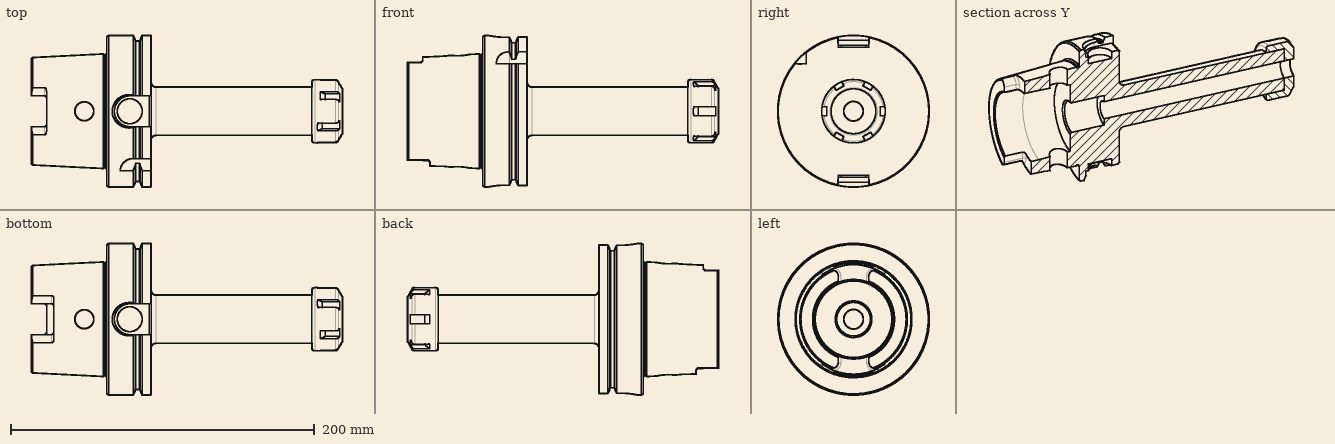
import cadquery as cq
import math


total_length = 205.0
flange_start = 49.6
flange_width = 29.3
flange_end = flange_start + flange_width
nut_start = 184.8

taper_end_radius = 35.5
taper_slope = 0.05
taper_edge_chamfer = 0.8
relief_width = 2.3
relief_depth = 0.6
relief_collar_radius = 38.5
mouth_radius = 27.0
mouth_chamfer = 0.8
bore_radius = mouth_radius - mouth_chamfer
bore_taper_x = 20.5
bore_floor_radius = 25.2
bore_floor_x = 43.0
thread_radius = 12.0
thread_chamfer = 1.0
thread_floor_x = 67.7
through_hole_radius = 6.4
cross_hole_x = 34.9
cross_hole_radius = 6.2

slot_half_width = 10.15
upper_slot_depth = 10.0
lower_slot_depth = 14.8
slot_corner_radius = 1.6
slot_edge_radius = 3.7

flange_radius = 50.0
front_chamfer_length = 1.2
front_chamfer_height = 0.8
back_chamfer = 0.5
groove_start = 67.0
groove_end = 73.0
groove_floor_radius = 46.4
groove_side_run = 1.2
groove_side_depth = 2.5
groove_corner = 0.6

keyway_center_x = 64.8
keyway_radius = 10.15
keyway_floor_z = 43.5
keyway_rim_width = 1.5
keyway_rim_depth = 3.3
keyway_end_chamfer = 1.2
keyway_hole_radius = 8.2
keyway_hole_depth = 5.1

notch_inner = 31.2
notch_radius = 8.6
notch_center_x = groove_start

shank_radius = 16.0
shank_fillet = 3.0

nut_radius = 21.0
nut_back_fillet = 1.8
nut_shoulder_x = 200.4
nut_cone_start_x = 202.2
nut_cone_start_radius = 19.7
nut_face_radius = 14.8
nut_edge_length = 0.6
nut_cone_end_radius = 15.5
nut_recess_depth = 13.3
nut_slot_count = 6
nut_slot_width = 6.0
nut_slot_floor_radius = 17.6
nut_slot_inset = 3.7
nut_slot_inset_far_side = 5.5

shank_end = nut_start + nut_recess_depth


def cylinder(radius, start, length, direction):
    """Solid cylinder from a start point along a direction."""
    return cq.Workplane(cq.Solid.makeCylinder(radius, length, cq.Vector(*start), cq.Vector(*direction)))


def holder_blank():
    """Turned outside of the holder: taper, relief, grooved flange and shank."""
    relief_start = flange_start - relief_width
    taper_large_radius = taper_end_radius + taper_slope * relief_start
    relief_radius = taper_large_radius - relief_depth
    groove_side_radius = flange_radius - groove_side_depth
    fillet_mid = shank_fillet * (1 - math.sqrt(0.5))
    return (
        cq.Workplane("XY")
        .moveTo(0, 0)
        .lineTo(0, taper_end_radius - taper_edge_chamfer)
        .lineTo(taper_edge_chamfer, taper_end_radius)
        .lineTo(relief_start, taper_large_radius)
        .lineTo(relief_start + relief_depth, relief_radius)
        .lineTo(flange_start - relief_depth, relief_radius)
        .lineTo(flange_start, relief_collar_radius)
        .lineTo(flange_start, flange_radius - front_chamfer_height)
        .lineTo(flange_start + front_chamfer_length, flange_radius)
        .lineTo(groove_start, flange_radius)
        .lineTo(groove_start + groove_side_run, groove_side_radius)
        .lineTo(groove_start + groove_side_run, groove_floor_radius + groove_corner)
        .lineTo(groove_start + groove_side_run + groove_corner, groove_floor_radius)
        .lineTo(groove_end - groove_side_run - groove_corner, groove_floor_radius)
        .lineTo(groove_end - groove_side_run, groove_floor_radius + groove_corner)
        .lineTo(groove_end - groove_side_run, groove_side_radius)
        .lineTo(groove_end, flange_radius)
        .lineTo(flange_end - back_chamfer, flange_radius)
        .lineTo(flange_end, flange_radius - back_chamfer)
        .lineTo(flange_end, shank_radius + shank_fillet)
        .threePointArc(
            (flange_end + fillet_mid, shank_radius + fillet_mid),
            (flange_end + shank_fillet, shank_radius),
        )
        .lineTo(shank_end, shank_radius)
        .lineTo(shank_end, 0)
        .close()
        .revolve(360, (0, 0, 0), (1, 0, 0))
    )


def holder_bore():
    """Stepped bore along the axis: clamping bore with a tapered inner part, coolant thread and through hole."""
    return (
        cq.Workplane("XY")
        .moveTo(0, 0)
        .lineTo(0, mouth_radius)
        .lineTo(mouth_chamfer, bore_radius)
        .lineTo(bore_taper_x, bore_radius)
        .lineTo(bore_floor_x, bore_floor_radius)
        .lineTo(bore_floor_x, thread_radius)
        .lineTo(bore_floor_x + thread_chamfer, thread_radius - thread_chamfer)
        .lineTo(thread_floor_x, thread_radius - thread_chamfer)
        .lineTo(thread_floor_x, through_hole_radius)
        .lineTo(shank_end, through_hole_radius)
        .lineTo(shank_end, 0)
        .close()
        .revolve(360, (0, 0, 0), (1, 0, 0))
    )


def driving_slot(depth):
    """Cutter for the +Z driving slot; its walls round over into the outside of the taper."""
    round_y = slot_half_width + slot_edge_radius
    round_z = math.sqrt((taper_end_radius - slot_edge_radius) ** 2 - round_y**2)
    tangent_angle = math.atan2(round_z, round_y)
    tangent_y = taper_end_radius * math.cos(tangent_angle)
    tangent_z = taper_end_radius * math.sin(tangent_angle)
    middle_angle = (math.pi + tangent_angle) / 2
    middle_y = round_y + slot_edge_radius * math.cos(middle_angle)
    middle_z = round_z + slot_edge_radius * math.sin(middle_angle)
    top_z = flange_radius
    return (
        cq.Workplane("YZ")
        .moveTo(-slot_half_width, 0)
        .lineTo(slot_half_width, 0)
        .lineTo(slot_half_width, round_z)
        .threePointArc((middle_y, middle_z), (tangent_y, tangent_z))
        .lineTo(tangent_y, top_z)
        .lineTo(-tangent_y, top_z)
        .lineTo(-tangent_y, tangent_z)
        .threePointArc((-middle_y, middle_z), (-slot_half_width, round_z))
        .close()
        .extrude(depth)
        .faces(">X")
        .edges("not(<Z or >Z)")
        .fillet(slot_corner_radius)
    )


def keyway():
    """Cutter for the +Z keyway, open towards +X, with its rim chamfer and blind hole."""
    height = flange_radius - keyway_floor_z
    run_out = flange_end - keyway_center_x
    floor_center = (keyway_center_x, 0, keyway_floor_z)
    pocket = cylinder(keyway_radius, floor_center, height, (0, 0, 1))
    channel = (
        cq.Workplane("XY", origin=floor_center)
        .rect(run_out, 2 * keyway_radius)
        .extrude(height)
        .translate((run_out / 2, 0, 0))
    )
    rim = cq.Workplane(
        cq.Solid.makeCone(
            keyway_radius,
            keyway_radius + keyway_rim_width,
            keyway_rim_depth,
            cq.Vector(keyway_center_x, 0, flange_radius - keyway_rim_depth),
            cq.Vector(0, 0, 1),
        )
    )
    end_chamfer = (
        cq.Workplane("XZ", origin=(0, keyway_radius, 0))
        .moveTo(flange_end, keyway_floor_z - keyway_end_chamfer)
        .lineTo(flange_end, keyway_floor_z)
        .lineTo(flange_end - keyway_end_chamfer, keyway_floor_z)
        .close()
        .extrude(2 * keyway_radius)
    )
    hole = cylinder(keyway_hole_radius, floor_center, keyway_hole_depth, (0, 0, -1))
    return pocket.union(channel).union(rim).union(end_chamfer).union(hole)


def orientation_notch():
    """Cutter with a flat floor, a flat wall and a round end."""
    center_y = -notch_inner - notch_radius
    run_out = flange_end - notch_center_x
    round_end = cylinder(notch_radius, (notch_center_x, center_y, notch_inner), flange_radius, (0, 0, 1))
    channel = (
        cq.Workplane("XY", origin=(notch_center_x + run_out / 2, center_y, notch_inner))
        .rect(run_out, 2 * notch_radius)
        .extrude(flange_radius)
    )
    return round_end.union(channel)


def upside_down(cutter):
    return cutter.rotate((0, 0, 0), (1, 0, 0), 180)


def make_holder():
    cross_hole = cylinder(cross_hole_radius, (cross_hole_x, 0, -flange_radius), 2 * flange_radius, (0, 0, 1))
    return (
        holder_blank()
        .cut(holder_bore())
        .cut(driving_slot(upper_slot_depth))
        .cut(upside_down(driving_slot(lower_slot_depth)))
        .cut(cross_hole)
        .cut(keyway())
        .cut(upside_down(keyway()))
        .cut(orientation_notch())
    )


def nut_blank():
    """Turned nut with a recess for the shank end and a through hole."""
    back_mid = nut_back_fillet * (1 - math.sqrt(0.5))
    return (
        cq.Workplane("XY")
        .moveTo(nut_start, shank_radius)
        .lineTo(nut_start, nut_radius - nut_back_fillet)
        .threePointArc(
            (nut_start + back_mid, nut_radius - back_mid),
            (nut_start + nut_back_fillet, nut_radius),
        )
        .lineTo(nut_shoulder_x, nut_radius)
        .tangentArcPoint((nut_cone_start_x, nut_cone_start_radius), relative=False)
        .lineTo(total_length - nut_edge_length, nut_cone_end_radius)
        .lineTo(total_length, nut_face_radius)
        .lineTo(total_length, through_hole_radius)
        .lineTo(shank_end, through_hole_radius)
        .lineTo(shank_end, shank_radius)
        .close()
        .revolve(360, (0, 0, 0), (1, 0, 0))
    )


def nut_slot(angle, inset):
    """Cutter for one wrench slot, starting with a 45 degree ramp; angle is measured from +Y about X."""
    start_x = nut_start + inset
    ramp_length = nut_radius - nut_slot_floor_radius
    return (
        cq.Workplane("XY")
        .moveTo(start_x, nut_radius)
        .lineTo(start_x + ramp_length, nut_slot_floor_radius)
        .lineTo(total_length, nut_slot_floor_radius)
        .lineTo(total_length, nut_radius)
        .close()
        .extrude(nut_slot_width / 2, both=True)
        .rotate((0, 0, 0), (1, 0, 0), angle)
    )


def make_nut():
    nut = nut_blank()
    for index in range(nut_slot_count):
        angle = index * 360 / nut_slot_count
        on_far_side = math.cos(math.radians(angle)) > 0
        inset = nut_slot_inset_far_side if on_far_side else nut_slot_inset
        nut = nut.cut(nut_slot(angle, inset))
    return nut


holder = make_holder()
nut = make_nut()

result = cq.Compound.makeCompound([holder.val(), nut.val()])